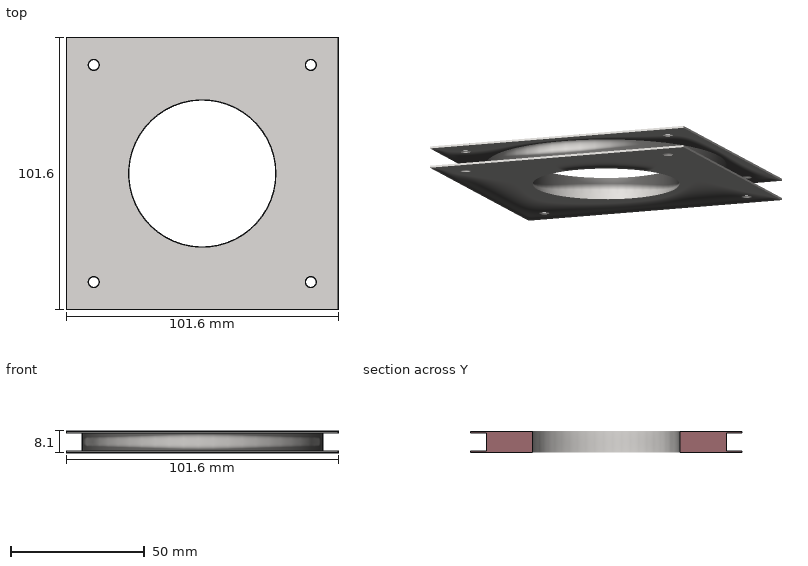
import cadquery as cq

plate_side = 101.6
plate_thickness = 0.76
total_height = 8.1
ring_diameter = 90.0
bore_diameter = 54.9
hole_diameter = 4.0
hole_spacing = 81.1

ring_height = total_height - 2 * plate_thickness


def square_plate(bottom_z):
    """Thin square plate with a mounting hole near each corner."""
    return (
        cq.Workplane("XY", origin=(0, 0, bottom_z))
        .rect(plate_side, plate_side)
        .extrude(plate_thickness)
        .faces(">Z")
        .workplane()
        .rect(hole_spacing, hole_spacing, forConstruction=True)
        .vertices()
        .hole(hole_diameter)
    )


spacer = (
    cq.Workplane("XY", origin=(0, 0, plate_thickness))
    .circle(ring_diameter / 2)
    .extrude(ring_height)
)

bore = cq.Workplane("XY").circle(bore_diameter / 2).extrude(total_height)

lower_plate = square_plate(0)
upper_plate = square_plate(total_height - plate_thickness)
result = lower_plate.union(spacer).union(upper_plate).cut(bore)